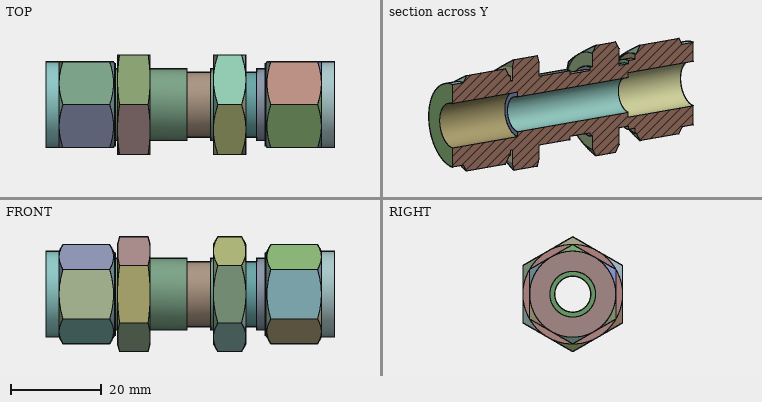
import cadquery as cq
import math

total_length = 63.7
half_length = total_length / 2

tube_nut_flats = 19.0
tube_nut_collar_length = 2.9
tube_nut_hex_length = 12.25
tube_nut_lip_diameter = 18.2
tube_nut_lip_length = 0.25
tube_nut_inner_end = half_length - tube_nut_collar_length - tube_nut_hex_length

body_flats = 22.0
barrel_diameter = 15.9
thread_diameter = 14.4
body_hex_start = -16.05
body_hex_length = 7.2
barrel_end = -0.7
shoulder_start = 14.65

locknut_start = 5.1
locknut_length = 7.2
washer_face_length = 0.6

bore_diameter = 7.9
socket_diameter = 10.1
socket_depth = 17.2

nut_chamfer_angle = 30.0
body_chamfer_angle = 15.0

hexagon_half_angle = math.pi / 6


def cylinder(start, end, diameter):
    """Cylinder on the X axis between two X positions."""
    return cq.Workplane("YZ", origin=(start, 0, 0)).circle(diameter / 2).extrude(end - start)


def chamfered_hexagon(start, length, flats, start_face_diameter, end_face_diameter, chamfer_angle):
    """Hexagon on the X axis with corners up and down, turned conically at both ends."""
    corner_diameter = flats / math.cos(hexagon_half_angle)
    end = start + length
    hexagon = (
        cq.Workplane("YZ", origin=(start, 0, 0))
        .transformed(rotate=(0, 0, 90))
        .polygon(6, corner_diameter)
        .extrude(length)
    )
    corner_radius = corner_diameter / 2
    slope = math.tan(math.radians(chamfer_angle))
    start_radius = start_face_diameter / 2
    end_radius = end_face_diameter / 2
    turned_blank = (
        cq.Workplane("XY")
        .moveTo(start, 0)
        .lineTo(start, start_radius)
        .lineTo(start + (corner_radius - start_radius) * slope, corner_radius)
        .lineTo(end - (corner_radius - end_radius) * slope, corner_radius)
        .lineTo(end, end_radius)
        .lineTo(end, 0)
        .close()
        .revolve(360, (0, 0, 0), (1, 0, 0))
    )
    return hexagon.intersect(turned_blank)


def tube_nut():
    """Tube nut of the -X end: round collar, hexagon and thin inner lip."""
    hex_start = -half_length + tube_nut_collar_length
    collar = cylinder(-half_length, hex_start, tube_nut_flats)
    hexagon = chamfered_hexagon(
        hex_start,
        tube_nut_hex_length,
        tube_nut_flats,
        tube_nut_flats,
        tube_nut_lip_diameter,
        nut_chamfer_angle,
    )
    lip = cylinder(-tube_nut_inner_end, -tube_nut_inner_end + tube_nut_lip_length, tube_nut_lip_diameter)
    return collar.union(hexagon).union(lip)


def union_body():
    """Stepped body with its hexagon, running between the two tube nuts."""
    barrel = cylinder(-tube_nut_inner_end, barrel_end, barrel_diameter)
    thread = cylinder(barrel_end, shoulder_start, thread_diameter)
    shoulder = cylinder(shoulder_start, tube_nut_inner_end, barrel_diameter)
    hexagon = chamfered_hexagon(
        body_hex_start, body_hex_length, body_flats, body_flats, body_flats, body_chamfer_angle
    )
    return barrel.union(thread).union(shoulder).union(hexagon)


def locknut():
    """Bulkhead locknut with a washer face on its -X side."""
    hexagon = chamfered_hexagon(
        locknut_start, locknut_length, body_flats, body_flats, body_flats, nut_chamfer_angle
    )
    washer_face = cylinder(locknut_start - washer_face_length, locknut_start, barrel_diameter)
    return hexagon.union(washer_face)


near_nut = tube_nut()
far_nut = near_nut.mirror("YZ")
fitting = union_body().union(locknut()).union(near_nut).union(far_nut)

bore = cylinder(-half_length, half_length, bore_diameter)
near_socket = cylinder(-half_length, -half_length + socket_depth, socket_diameter)
far_socket = near_socket.mirror("YZ")
result = fitting.cut(bore).cut(near_socket).cut(far_socket)